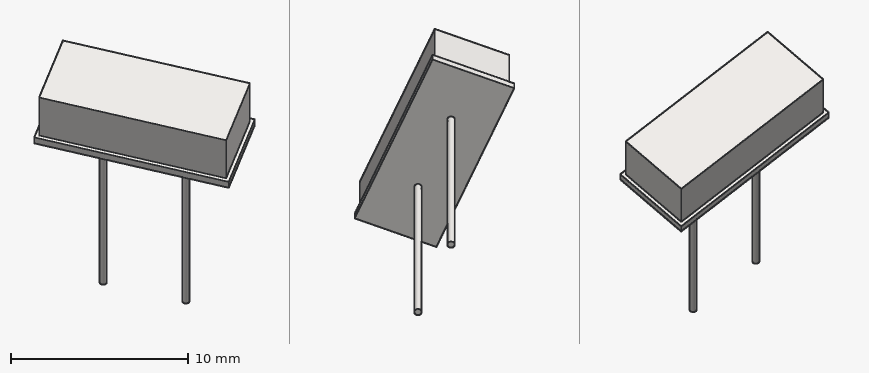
import cadquery as cq

flange_length = 11.5
flange_width = 5.0
total_height = 16.88

flange_thickness = 0.5
flange_margin = 0.22
block_height = 3.19
block_length = flange_length - 2 * flange_margin
block_width = flange_width - 2 * flange_margin

lead_diameter = 0.42
lead_spacing = 4.88
lead_length = total_height - flange_thickness - block_height


def make_housing():
    """Flange with its underside at Z = 0 and the block centred on top."""
    flange = cq.Workplane("XY").box(
        flange_length, flange_width, flange_thickness, centered=(True, True, False)
    )
    return flange.faces(">Z").workplane().rect(block_length, block_width).extrude(block_height)


def make_lead(x):
    """Straight wire lead running down from the flange underside."""
    return cq.Workplane("XY").center(x, 0).circle(lead_diameter / 2).extrude(-lead_length)


housing = make_housing()
leads = [make_lead(side * lead_spacing / 2) for side in (-1, 1)]

result = cq.Compound.makeCompound([housing.val(), *[lead.val() for lead in leads]])